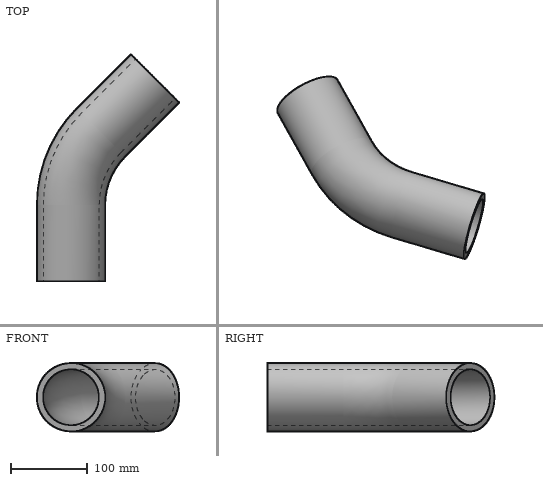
import cadquery as cq
import math

overall_length = 298.0
outer_diameter = 90.0
wall_thickness = 8.3
bend_angle = 45.0

bend_radius = 1.5 * outer_diameter
outer_radius = outer_diameter / 2
inner_radius = outer_radius - wall_thickness

sin_bend = math.sin(math.radians(bend_angle))
cos_bend = math.cos(math.radians(bend_angle))

leg_length = (overall_length - (bend_radius + outer_radius) * sin_bend) / (1 + cos_bend)


def bend_point(angle):
    """Point on the bend centreline after turning by the given angle in degrees."""
    turn = math.radians(angle)
    return (
        bend_radius * (1 - math.cos(turn)),
        leg_length + bend_radius * math.sin(turn),
    )


bend_end = bend_point(bend_angle)
centreline = (
    cq.Workplane("XY")
    .lineTo(0, leg_length)
    .threePointArc(bend_point(bend_angle / 2), bend_end)
    .lineTo(bend_end[0] + leg_length * sin_bend, bend_end[1] + leg_length * cos_bend)
)

result = cq.Workplane("XZ").circle(outer_radius).circle(inner_radius).sweep(centreline)